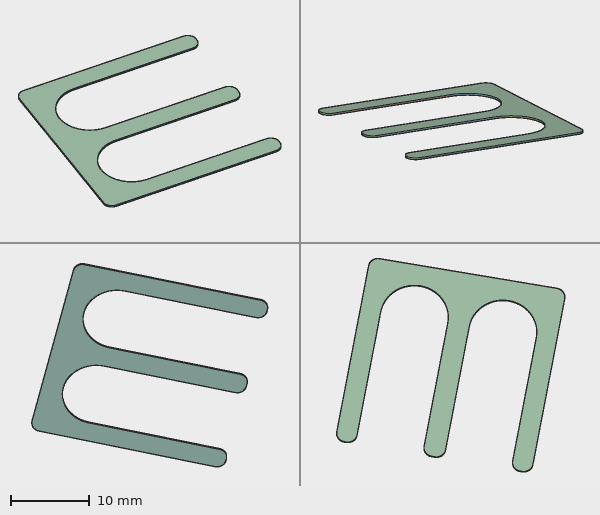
import cadquery as cq

side = 25.4
thickness = 0.25
corner_radius = 1.2

slot_width = 8.65
middle_finger_width = 2.8
base_width = 2.75

slot_radius = slot_width / 2
slot_offset = (middle_finger_width + slot_width) / 2
slot_center_y = -side / 2 + base_width + slot_radius
slot_straight = side / 2 - slot_center_y


def slot_cutter(center_x):
    """Round-bottomed slot running out through the +Y edge."""
    straight = (
        cq.Workplane("XY")
        .center(center_x, slot_center_y + slot_straight / 2)
        .rect(slot_width, slot_straight)
        .extrude(thickness)
    )
    round_end = (
        cq.Workplane("XY")
        .center(center_x, slot_center_y)
        .circle(slot_radius)
        .extrude(thickness)
    )
    return straight.union(round_end)


plate = cq.Workplane("XY").rect(side, side).extrude(thickness)
for center_x in (-slot_offset, slot_offset):
    plate = plate.cut(slot_cutter(center_x))

base_corners = plate.faces("<Y").edges("|Z")
tip_corners = plate.faces(">Y").edges("|Z")
result = plate.newObject(base_corners.vals() + tip_corners.vals()).fillet(corner_radius)